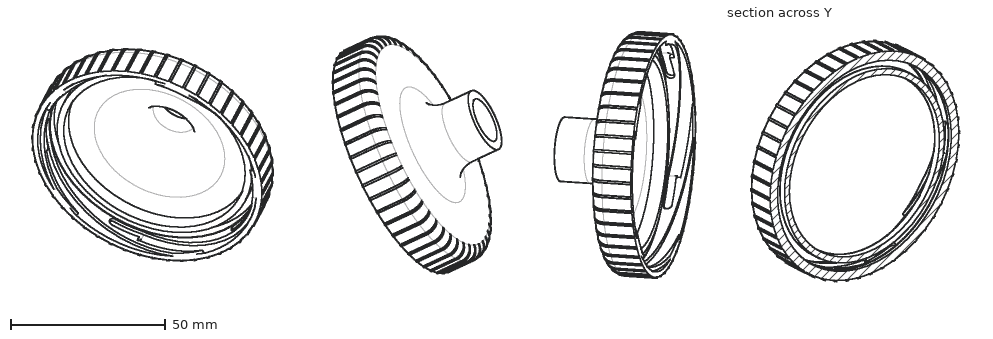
import math
import cadquery as cq


CAP_HEIGHT = 13.8
NECK_LENGTH = 20.0
TOTAL_LENGTH = CAP_HEIGHT + NECK_LENGTH

CAP_RADIUS = 39.5
CAP_ROUND = 4.0
NECK_RADIUS = 10.5
NECK_FLARE = 10.0

FLOOR_THICKNESS = 2.0
FLOOR_DEPTH = CAP_HEIGHT - FLOOR_THICKNESS
THREAD_WALL_RADIUS = 36.4
THREAD_WALL_DEPTH = 8.0
INNER_WALL_RADIUS = 36.2

SEAL_OUTER_RADIUS = 33.5
SEAL_INNER_RADIUS = 31.25
SEAL_HEIGHT = 4.7
SEAL_TOP = FLOOR_DEPTH - SEAL_HEIGHT

BORE_RADIUS = 7.5
BELL_RADIUS = 15.0

GRIP_COUNT = 50
GRIP_HEIGHT = 0.3
GRIP_WIDTH = 0.75
FIRST_GRIP_ANGLE = -0.5

GROOVE_COUNT = 5
GROOVE_ROOT_RADIUS = 37.7
GROOVE_WIDTH = 4.5
GROOVE_LEAD = 30.0
GROOVE_RIM_ANGLE = 328.5
GROOVE_TRAVEL = 65.5
GROOVE_RUN_OUT = 45.0
SLOT_WIDTH = 3.0
SLOT_SWEEP = 16.0
SLOT_OVERLAP = 1.0


def revolve_about_y(outline, angle=360.0):
    """Close an outline drawn in the XY plane and turn it about Y."""
    return outline.close().revolve(angle, (0, 0, 0), (0, 1, 0))


def cap_outline(inner_radius, outer_radius):
    """Start an outline at the rim and follow the outside up to the rounded cap edge."""
    return (
        cq.Workplane("XY")
        .moveTo(inner_radius, 0)
        .lineTo(outer_radius, 0)
        .lineTo(outer_radius, CAP_HEIGHT - CAP_ROUND)
        .radiusArc((outer_radius - CAP_ROUND, CAP_HEIGHT), -CAP_ROUND)
    )


def make_body():
    """Cap, flared neck, bell-mouthed bore and sealing ring."""
    bell_edge = BORE_RADIUS + BELL_RADIUS
    outline = (
        cap_outline(THREAD_WALL_RADIUS, CAP_RADIUS)
        .lineTo(NECK_RADIUS + NECK_FLARE, CAP_HEIGHT)
        .radiusArc((NECK_RADIUS, CAP_HEIGHT + NECK_FLARE), NECK_FLARE)
        .lineTo(NECK_RADIUS, TOTAL_LENGTH)
        .lineTo(BORE_RADIUS, TOTAL_LENGTH)
        .lineTo(BORE_RADIUS, FLOOR_DEPTH + BELL_RADIUS)
        .radiusArc((bell_edge, FLOOR_DEPTH), -BELL_RADIUS)
        .lineTo(SEAL_INNER_RADIUS, FLOOR_DEPTH)
        .lineTo(SEAL_INNER_RADIUS, SEAL_TOP)
        .lineTo(SEAL_OUTER_RADIUS, SEAL_TOP)
        .lineTo(SEAL_OUTER_RADIUS, FLOOR_DEPTH)
        .lineTo(INNER_WALL_RADIUS, FLOOR_DEPTH)
        .lineTo(INNER_WALL_RADIUS, THREAD_WALL_DEPTH)
        .lineTo(THREAD_WALL_RADIUS, THREAD_WALL_DEPTH)
    )
    return revolve_about_y(outline)


def repeat_about_y(shape, count, first_angle):
    """Equally spaced copies of a shape about Y, starting at first_angle."""
    axis_start = cq.Vector(0, 0, 0)
    axis_end = cq.Vector(0, 1, 0)
    step = 360.0 / count
    return [shape.rotate(axis_start, axis_end, -(first_angle + i * step)) for i in range(count)]


def make_grips():
    """Grip ribs that follow the cap side and fade out over its rounded edge."""
    tip_radius = CAP_RADIUS + GRIP_HEIGHT
    foot_radius = CAP_RADIUS - CAP_ROUND
    grip_angle = math.degrees(GRIP_WIDTH / tip_radius)
    wedge = revolve_about_y(cap_outline(foot_radius, tip_radius).lineTo(foot_radius, CAP_HEIGHT), grip_angle)
    cap_blank = revolve_about_y(cap_outline(0, CAP_RADIUS).lineTo(0, CAP_HEIGHT))
    grip = wedge.cut(cap_blank).val()
    return repeat_about_y(grip, GRIP_COUNT, FIRST_GRIP_ANGLE + grip_angle / 2)


def make_helical_channel(inner_radius):
    """Helical part of a groove about Z, starting at angle 0 and height 0."""
    travel = GROOVE_RUN_OUT + GROOVE_TRAVEL
    path = cq.Wire.makeHelix(GROOVE_LEAD, GROOVE_LEAD * travel / 360.0, GROOVE_ROOT_RADIUS)
    section = (
        cq.Workplane("XZ")
        .center((inner_radius + GROOVE_ROOT_RADIUS) / 2, 0)
        .rect(GROOVE_ROOT_RADIUS - inner_radius, GROOVE_WIDTH)
    )
    return section.sweep(cq.Workplane(path), isFrenet=True)


def make_blind_slot(inner_radius):
    """Level slot about Z with a rounded end, starting at angle 0 and centred on height 0."""
    half_width = SLOT_WIDTH / 2
    band = (
        cq.Workplane("XZ")
        .moveTo(inner_radius, -half_width)
        .lineTo(GROOVE_ROOT_RADIUS, -half_width)
        .lineTo(GROOVE_ROOT_RADIUS, half_width)
        .lineTo(inner_radius, half_width)
        .close()
        .revolve(SLOT_SWEEP, (0, 0, 0), (0, 1, 0))
    )
    ring = (
        cq.Workplane("XY")
        .circle(GROOVE_ROOT_RADIUS)
        .circle(inner_radius)
        .extrude(SLOT_WIDTH, both=True)
    )
    round_end = (
        cq.Workplane("YZ")
        .circle(half_width)
        .extrude(CAP_RADIUS)
        .intersect(ring)
        .rotate((0, 0, 0), (0, 0, 1), SLOT_SWEEP)
    )
    return band.union(round_end)


def make_grooves():
    """Thread grooves that climb from the rim as the angle falls, then level out."""
    inner_radius = INNER_WALL_RADIUS - (GROOVE_ROOT_RADIUS - INNER_WALL_RADIUS)
    start_height = -GROOVE_LEAD * GROOVE_RUN_OUT / 360.0
    end_height = GROOVE_LEAD * GROOVE_TRAVEL / 360.0
    slot_height = end_height + (GROOVE_WIDTH - SLOT_WIDTH) / 2
    slot_angle = GROOVE_RUN_OUT + GROOVE_TRAVEL - SLOT_OVERLAP

    channel = make_helical_channel(inner_radius).translate((0, 0, start_height))
    slot = (
        make_blind_slot(inner_radius)
        .rotate((0, 0, 0), (0, 0, 1), slot_angle)
        .translate((0, 0, slot_height))
    )
    groove = channel.union(slot).rotate((0, 0, 0), (1, 0, 0), -90).val()
    return repeat_about_y(groove, GROOVE_COUNT, GROOVE_RIM_ANGLE + GROOVE_RUN_OUT)


body = make_body().val()
gripped_body = body.fuse(*make_grips()).clean()
result = cq.Workplane(gripped_body.cut(*make_grooves()))